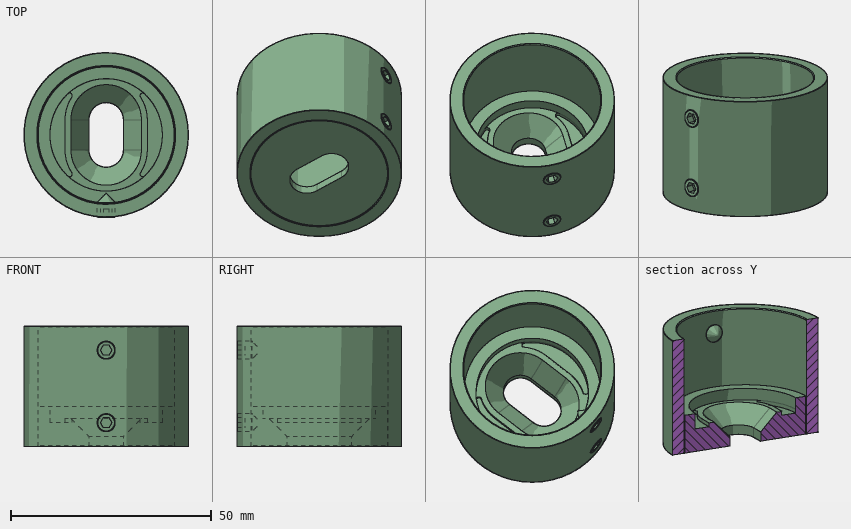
import cadquery as cq
import math

SLEEVE_DIA = 41.0
SLEEVE_HEIGHT = 30.0
BORE_DIA = 34.1
OUTER_EDGE_CHAMFER = 0.1
BORE_EDGE_CHAMFER = 0.25

PUCK_DIA = 34.0
PUCK_HEIGHT = 10.0
RECESS_DIA = 28.0
RECESS_DEPTH = 3.0

SLOT_WIDTH = 8.53
SLOT_CENTRES = 7.5
COUNTERSINK_WIDTH = 17.55
COUNTERSINK_ANGLE = 90.0

LAND_MARGIN = 1.48
CRESCENT_DEPTH = 1.0
CRESCENT_TIP_RADIUS = 0.65

SCREW_DIA = 4.5
SCREW_LENGTH = 6.0
SCREW_HEAD_CHAMFER = 0.15
SCREW_HEAD_Y = -SLEEVE_DIA / 2
HEX_ACROSS_FLATS = 2.5
HEX_DEPTH = 2.05
SCREW_END_DISTANCE = 6.0
SCREW_HEIGHTS = [SCREW_END_DISTANCE, SLEEVE_HEIGHT - SCREW_END_DISTANCE]


def screw_blank(height):
    """Set screw without its socket: chamfered head, shank and 90 degree cone point."""
    radius = SCREW_DIA / 2
    head_radius = radius - SCREW_HEAD_CHAMFER
    tip_y = SCREW_HEAD_Y + SCREW_LENGTH
    profile = (
        cq.Workplane("XY")
        .moveTo(0, SCREW_HEAD_Y)
        .lineTo(head_radius, SCREW_HEAD_Y)
        .lineTo(radius, SCREW_HEAD_Y + SCREW_HEAD_CHAMFER)
        .lineTo(radius, tip_y - radius)
        .lineTo(0, tip_y)
        .close()
    )
    return profile.revolve(360, (0, 0, 0), (0, 1, 0)).translate((0, 0, height))


def make_screw(height):
    """Set screw with its hexagon socket, two flats of the hexagon lying level."""
    across_corners = HEX_ACROSS_FLATS / math.cos(math.pi / 6)
    socket = (
        cq.Workplane("XZ", origin=(0, SCREW_HEAD_Y, height))
        .polygon(6, across_corners)
        .extrude(-HEX_DEPTH)
    )
    return screw_blank(height).cut(socket)


def make_sleeve():
    """Plain tube with broken edges and a hole through its wall for each set screw."""
    sleeve = cq.Workplane("XY").circle(SLEEVE_DIA / 2).extrude(SLEEVE_HEIGHT)
    sleeve = sleeve.faces("<Z or >Z").edges().chamfer(OUTER_EDGE_CHAMFER)
    bore = cq.Workplane("XY").circle(BORE_DIA / 2).extrude(SLEEVE_HEIGHT)
    sleeve = sleeve.cut(bore)
    bore_edges = cq.selectors.RadiusNthSelector(0)
    sleeve = sleeve.faces("<Z or >Z").edges(bore_edges).chamfer(BORE_EDGE_CHAMFER)
    for height in SCREW_HEIGHTS:
        screw_hole = cq.Workplane("XZ", origin=(0, 0, height)).circle(SCREW_DIA / 2).extrude(SLEEVE_DIA / 2)
        sleeve = sleeve.cut(screw_hole)
    return sleeve


def stadium(width, z):
    """Workplane at height z with a slot outline of the given width, elongated along Y."""
    return cq.Workplane("XY", origin=(0, 0, z)).slot2D(SLOT_CENTRES + width, width, 90)


def countersunk_slot(land_z):
    """Cutter for the through slot and its countersink, which opens at height land_z."""
    slot = stadium(SLOT_WIDTH, 0).extrude(land_z)
    half_angle = COUNTERSINK_ANGLE / 2
    depth = (COUNTERSINK_WIDTH - SLOT_WIDTH) / 2 / math.tan(math.radians(half_angle))
    countersink = stadium(COUNTERSINK_WIDTH, land_z).extrude(-depth, taper=half_angle)
    return slot.union(countersink)


def crescent_pocket(land_z, side):
    """Cutter for one crescent between the recess wall and the land; side is 1 for +X, -1 for -X."""
    outer_radius = RECESS_DIA / 2
    land_radius = COUNTERSINK_WIDTH / 2 + LAND_MARGIN
    slot_end_y = SLOT_CENTRES / 2

    tip_to_axis = outer_radius - CRESCENT_TIP_RADIUS
    tip_to_slot_end = land_radius + CRESCENT_TIP_RADIUS
    tip_y = (tip_to_axis**2 + slot_end_y**2 - tip_to_slot_end**2) / (2 * slot_end_y)
    tip_x = math.sqrt(tip_to_axis**2 - tip_y**2)
    outer_x = tip_x * outer_radius / tip_to_axis
    outer_y = tip_y * outer_radius / tip_to_axis
    inner_x = tip_x * land_radius / tip_to_slot_end
    inner_y = slot_end_y + (tip_y - slot_end_y) * land_radius / tip_to_slot_end

    return (
        cq.Workplane("XY", origin=(0, 0, land_z))
        .moveTo(side * outer_x, -outer_y)
        .threePointArc((side * outer_radius, 0), (side * outer_x, outer_y))
        .tangentArcPoint((side * inner_x, inner_y), relative=False)
        .tangentArcPoint((side * land_radius, slot_end_y), relative=False)
        .lineTo(side * land_radius, -slot_end_y)
        .tangentArcPoint((side * inner_x, -inner_y), relative=False)
        .tangentArcPoint((side * outer_x, -outer_y), relative=False)
        .close()
        .extrude(-CRESCENT_DEPTH)
    )


def make_puck():
    """Disc with a round recess, countersunk slot, crescent pockets and a seat for the lower screw."""
    land_z = PUCK_HEIGHT - RECESS_DEPTH
    puck = cq.Workplane("XY").circle(PUCK_DIA / 2).extrude(PUCK_HEIGHT)
    recess = cq.Workplane("XY", origin=(0, 0, land_z)).circle(RECESS_DIA / 2).extrude(RECESS_DEPTH)
    puck = puck.cut(screw_blank(SCREW_END_DISTANCE)).cut(countersunk_slot(land_z))

    puck = puck.cut(recess, clean=False)
    for side in (-1, 1):
        puck = puck.cut(crescent_pocket(land_z, side), clean=False)
    return puck


sleeve = make_sleeve()
puck = make_puck()
screws = [make_screw(height) for height in SCREW_HEIGHTS]

result = cq.Compound.makeCompound([sleeve.val(), puck.val(), *[screw.val() for screw in screws]])